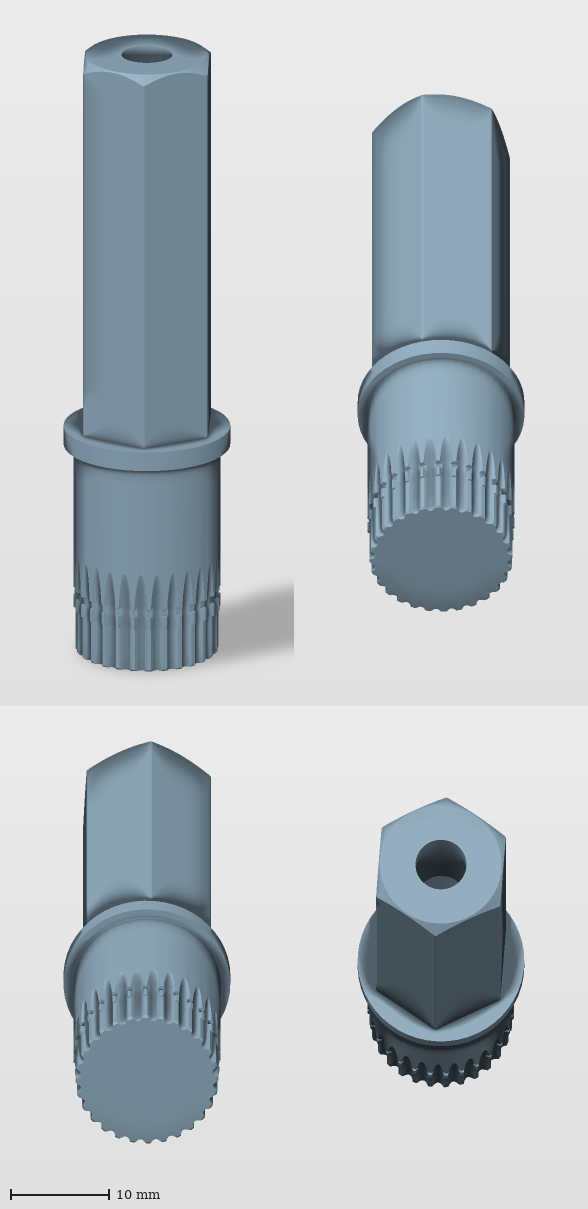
import cadquery as cq
import math

total_height = 64.1
hex_height = 40.0
flange_height = 2.0
flange_top = total_height - hex_height
flange_bottom = flange_top - flange_height

flange_diameter = 17.0
body_diameter = 15.0
pilot_diameter = 14.6
ring_groove_diameter = 14.2
flange_radius = flange_diameter / 2
body_radius = body_diameter / 2
pilot_radius = pilot_diameter / 2

pilot_height = 4.6
ring_groove_bottom = 5.9
ring_groove_top = 6.75
pilot_chamfer = 0.2
flange_fillet = 0.2

hex_across_flats = 12.7
hex_corner_radius = 0.3
hex_across_corners = hex_across_flats * 2 / math.sqrt(3)
hex_top_diameter = 12.4
hex_chamfer_angle = 40.0
hex_turn = 30.0

hole_diameter = 5.2
hole_depth = 15.0
drill_point_angle = 118.0

flute_count = 28
flute_depth = 0.75
flute_root_radius = 0.35
flute_runout_start = pilot_height
flute_runout_end = 10.55
flute_arc_angle = 45.0
flute_root_x = body_radius - flute_depth


def make_turned_body():
    """Revolved lower body: pilot, ring groove, cylinder and flange."""
    groove_radius = ring_groove_diameter / 2
    profile = (
        cq.Workplane("XZ")
        .moveTo(0, 0)
        .lineTo(pilot_radius - pilot_chamfer, 0)
        .lineTo(pilot_radius, pilot_chamfer)
        .lineTo(pilot_radius, pilot_height)
        .lineTo(body_radius, pilot_height)
        .lineTo(body_radius, ring_groove_bottom)
        .lineTo(groove_radius, ring_groove_bottom)
        .lineTo(groove_radius, ring_groove_top)
        .lineTo(body_radius, ring_groove_top)
        .lineTo(body_radius, flange_bottom - flange_fillet)
        .radiusArc((body_radius + flange_fillet, flange_bottom), flange_fillet)
        .lineTo(flange_radius, flange_bottom)
        .lineTo(flange_radius, flange_top)
        .lineTo(0, flange_top)
        .close()
    )
    return profile.revolve(360, (0, 0, 0), (0, 1, 0))


def make_hex_shank():
    """Hexagonal shank, flats facing +X and -X, corners turned to a cone at the top."""
    prism = (
        cq.Workplane("XY", origin=(0, 0, flange_top))
        .polygon(6, hex_across_corners)
        .extrude(hex_height)
        .edges("|Z")
        .fillet(hex_corner_radius)
        .rotate((0, 0, 0), (0, 0, 1), hex_turn)
    )
    top_radius = hex_top_diameter / 2
    cone_radius = flange_radius
    cone_drop = (cone_radius - top_radius) * math.tan(math.radians(hex_chamfer_angle))
    envelope = (
        cq.Workplane("XZ")
        .moveTo(0, flange_top)
        .lineTo(cone_radius, flange_top)
        .lineTo(cone_radius, total_height - cone_drop)
        .lineTo(top_radius, total_height)
        .lineTo(0, total_height)
        .close()
        .revolve(360, (0, 0, 0), (0, 1, 0))
    )
    return prism.intersect(envelope)


def make_hole():
    """Blind drilled hole with a conical bottom."""
    radius = hole_diameter / 2
    point_length = radius / math.tan(math.radians(drill_point_angle / 2))
    hole_bottom = total_height - hole_depth
    return (
        cq.Workplane("XZ")
        .moveTo(0, total_height)
        .lineTo(radius, total_height)
        .lineTo(radius, hole_bottom)
        .lineTo(0, hole_bottom - point_length)
        .close()
        .revolve(360, (0, 0, 0), (0, 1, 0))
    )


def make_flute_section():
    """Parabolic outline of one flute on the +X side, at the height where the runout starts."""
    mouth_x = flange_radius
    section_depth = mouth_x - flute_root_x
    mouth_half = math.sqrt(2 * flute_root_radius * section_depth)
    pole_x = flute_root_x - section_depth
    return (
        cq.Workplane("XY", origin=(0, 0, flute_runout_start))
        .moveTo(mouth_x, mouth_half)
        .bezier([(mouth_x, mouth_half), (pole_x, 0), (mouth_x, -mouth_half)])
        .close()
    )


def make_flute():
    """Flute on the +X side: straight at the bottom, then curving out of the body."""
    straight = make_flute_section().extrude(-flute_runout_start)
    runout_length = flute_runout_end - flute_runout_start
    arc_radius = (runout_length**2 + flute_depth**2) / (2 * flute_depth)
    arc_center = flute_root_x + arc_radius
    runout = make_flute_section().revolve(flute_arc_angle, (arc_center, 0, 0), (arc_center, 1, 0))
    return straight.union(runout)


def make_all_flutes():
    """Flutes spaced evenly, with the +X and +Y directions falling on lands."""
    pitch_angle = 360 / flute_count
    flute = make_flute()
    flutes = []
    for index in range(flute_count):
        angle = (index + 0.5) * pitch_angle
        flutes.append(flute.rotate((0, 0, 0), (0, 0, 1), angle))
    return flutes


fluted_body = make_turned_body()
for flute in make_all_flutes():
    fluted_body = fluted_body.cut(flute)
result = fluted_body.union(make_hex_shank()).cut(make_hole())